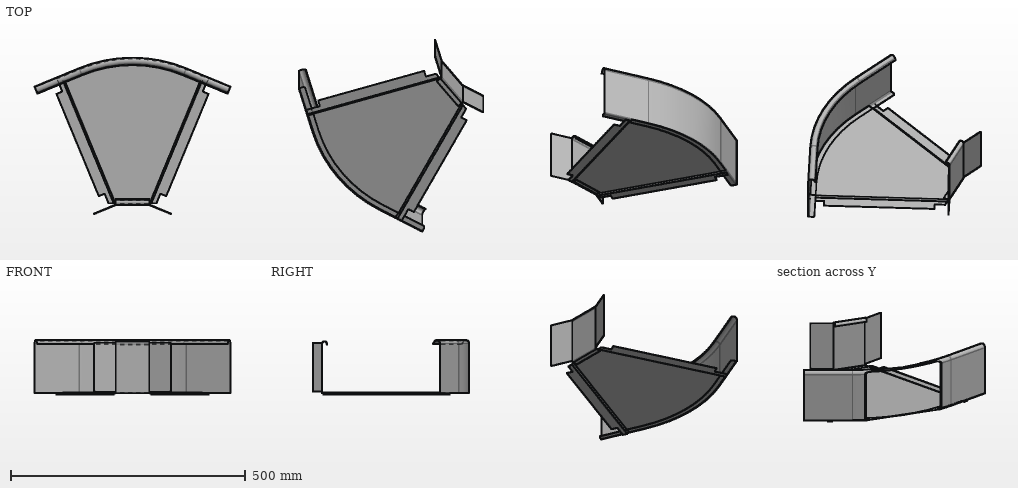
import cadquery as cq
import math


SHEET = 1.3
HALF_BEND = 22.5
SIN = math.sin(math.radians(HALF_BEND))
COS = math.cos(math.radians(HALF_BEND))
BEND_INSIDE = 1.3
BEND_OUTSIDE = BEND_INSIDE + SHEET

HEIGHT = 117.0
FLANGE_BOTTOM = 2.5
FLOOR_BOTTOM = FLANGE_BOTTOM + SHEET
FLOOR_TOP = FLOOR_BOTTOM + SHEET

OUTER_RADIUS = 298.5
OUTER_STRAIGHT = 103.0
OUTER_FACE = 314.0
OUTER_FLANGE = 14.0
OUTER_FLANGE_ROUND = 3.8
OUTER_CURL = 7.5
OUTER_LIP = 5.0
OUTER_LIP_TILT = 30
ARC_CENTRE_Y = (OUTER_FACE - OUTER_RADIUS) / COS

INNER_LENGTH = 72.5
INNER_TOP = 114.5
INNER_FLANGE = 14.0
INNER_CURL = 6.0
INNER_LIP = 1.5
FLAP_LENGTH = 50.0
FLAP_BOTTOM = 6.3
FLAP_TOP = 110.5
FLAP_ROUND = 2.0

FLOOR_FRONT = 3.8
FLOOR_REACH = OUTER_FACE - BEND_OUTSIDE
EDGE_X = 34.8
STEP_SLOPE = 45
STEP_RUN = FLOOR_BOTTOM / math.tan(math.radians(STEP_SLOPE))
STEP_ROUND = 1.5
STEP_SETBACK = STEP_ROUND * math.tan(math.radians(STEP_SLOPE / 2))
LEDGE_WIDTH = 14.0
TAB_WIDTH = 27.2
TAB_START = 45.2
TAB_END = 282.0
FRONT_TRIM = 83.8
EDGE_OFFSET = EDGE_X * COS


def polar(centre, radius, degrees):
    angle = math.radians(degrees)
    return (centre[0] + radius * math.cos(angle), centre[1] + radius * math.sin(angle))


def wall_profile(plane, top, flange, curl, lip, lip_tilt):
    """Wall section: X runs inward from the outside face, Y runs up."""
    bend = (BEND_OUTSIDE, FLANGE_BOTTOM + BEND_OUTSIDE)
    centre = (curl, top - curl)
    inside = curl - SHEET
    mid_angle = (180 + lip_tilt) / 2
    tilt = math.radians(lip_tilt)
    drop = (lip * math.sin(tilt), -lip * math.cos(tilt))
    outer_end = polar(centre, curl, lip_tilt)
    inner_end = polar(centre, inside, lip_tilt)
    return (
        cq.Workplane(plane)
        .moveTo(flange, FLANGE_BOTTOM)
        .lineTo(BEND_OUTSIDE, FLANGE_BOTTOM)
        .threePointArc(polar(bend, BEND_OUTSIDE, 225), (0, bend[1]))
        .lineTo(0, centre[1])
        .threePointArc(polar(centre, curl, mid_angle), outer_end)
        .lineTo(outer_end[0] + drop[0], outer_end[1] + drop[1])
        .lineTo(inner_end[0] + drop[0], inner_end[1] + drop[1])
        .lineTo(*inner_end)
        .threePointArc(polar(centre, inside, mid_angle), (SHEET, centre[1]))
        .lineTo(SHEET, bend[1])
        .threePointArc(polar(bend, BEND_INSIDE, 225), (BEND_OUTSIDE, FLOOR_BOTTOM))
        .lineTo(flange, FLOOR_BOTTOM)
        .close()
    )


def mirrored_pair(body):
    return body.union(body.mirror("YZ"))


def make_outer_wall():
    joint = (OUTER_RADIUS * SIN, ARC_CENTRE_Y + OUTER_RADIUS * COS, 0)
    plane = cq.Plane(origin=joint, xDir=(-SIN, -COS, 0), normal=(-COS, SIN, 0))
    profile = (plane, HEIGHT, OUTER_FLANGE, OUTER_CURL, OUTER_LIP, OUTER_LIP_TILT)
    flange_corner = plane.toWorldCoords((OUTER_FLANGE, FLANGE_BOTTOM + SHEET / 2, -OUTER_STRAIGHT))
    straight = (
        wall_profile(*profile)
        .extrude(-OUTER_STRAIGHT)
        .edges(cq.selectors.NearestToPointSelector(flange_corner.toTuple()))
        .fillet(OUTER_FLANGE_ROUND)
    )
    arc = wall_profile(*profile).revolve(2 * HALF_BEND, (OUTER_RADIUS, 0), (OUTER_RADIUS, 1))
    return arc.union(mirrored_pair(straight))


def make_inner_wall():
    half = INNER_LENGTH / 2
    plane = cq.Plane(origin=(-half, 0, 0), xDir=(0, 1, 0), normal=(1, 0, 0))
    panel = wall_profile(plane, INNER_TOP, INNER_FLANGE, INNER_CURL, INNER_LIP, 0).extrude(INNER_LENGTH)
    flap = (
        cq.Workplane("XY")
        .box(FLAP_LENGTH, SHEET, FLAP_TOP - FLAP_BOTTOM, centered=False)
        .translate((0, -SHEET, 0))
        .edges("|Y and >X")
        .fillet(FLAP_ROUND)
        .rotate((0, 0, 0), (0, 0, 1), -HALF_BEND)
        .translate((half, SHEET, FLAP_BOTTOM))
    )
    return panel.union(mirrored_pair(flap))


def side_point(along, outward):
    """XY of a point by its distance along the right side edge and out from it."""
    across = EDGE_OFFSET + outward
    return (along * SIN + across * COS, along * COS - across * SIN)


def make_flat_floor():
    """Wedge between the two walls, lying on their flanges."""
    arc_reach = OUTER_RADIUS - BEND_OUTSIDE
    joint = (arc_reach * SIN, ARC_CENTRE_Y + arc_reach * COS)
    far = side_point(FLOOR_REACH, -STEP_SETBACK)
    near = side_point(0, -STEP_SETBACK)
    return (
        cq.Workplane("XY", origin=(0, 0, FLOOR_BOTTOM))
        .moveTo(-near[0], near[1])
        .lineTo(*near)
        .lineTo(*far)
        .lineTo(*joint)
        .threePointArc((0, ARC_CENTRE_Y + arc_reach), (-joint[0], joint[1]))
        .lineTo(-far[0], far[1])
        .close()
        .extrude(SHEET)
    )


def make_step():
    """Slope down from the right side edge, ending at the flange of the outer wall."""
    section = cq.Plane(
        origin=(EDGE_OFFSET * COS, -EDGE_OFFSET * SIN, 0), xDir=(-COS, SIN, 0), normal=(SIN, COS, 0)
    )
    round_centre = (STEP_SETBACK, FLOOR_TOP - STEP_ROUND)
    return (
        cq.Workplane(section)
        .moveTo(STEP_SETBACK, FLOOR_BOTTOM)
        .lineTo(STEP_SETBACK, FLOOR_TOP)
        .threePointArc(
            polar(round_centre, STEP_ROUND, 90 + STEP_SLOPE / 2),
            polar(round_centre, STEP_ROUND, 90 + STEP_SLOPE),
        )
        .lineTo(-STEP_RUN, SHEET)
        .lineTo(-STEP_RUN, 0)
        .lineTo(0, FLOOR_BOTTOM)
        .close()
        .extrude(OUTER_FACE - OUTER_FLANGE)
    )


def make_ledge():
    """Low ledge with a wide tab, running on beneath the flange of the outer wall."""
    outline = [
        side_point(0, STEP_RUN),
        side_point(0, LEDGE_WIDTH),
        side_point(TAB_START, LEDGE_WIDTH),
        side_point(TAB_START, TAB_WIDTH),
        side_point(TAB_END, TAB_WIDTH),
        side_point(TAB_END, LEDGE_WIDTH),
        side_point(FLOOR_REACH, LEDGE_WIDTH),
        side_point(FLOOR_REACH, STEP_RUN),
    ]
    return cq.Workplane("XY").polyline(outline).close().extrude(SHEET)


def make_floor():
    side = make_step().union(make_ledge())
    in_front = cq.Workplane("XY", origin=(0, FLOOR_FRONT - FRONT_TRIM / 2, 0)).box(
        2 * FRONT_TRIM, FRONT_TRIM, 2 * FRONT_TRIM
    )
    return make_flat_floor().union(mirrored_pair(side)).cut(in_front)


outer_wall = make_outer_wall()
inner_wall = make_inner_wall()
floor = make_floor()

result = cq.Compound.makeCompound([outer_wall.val(), inner_wall.val(), floor.val()])